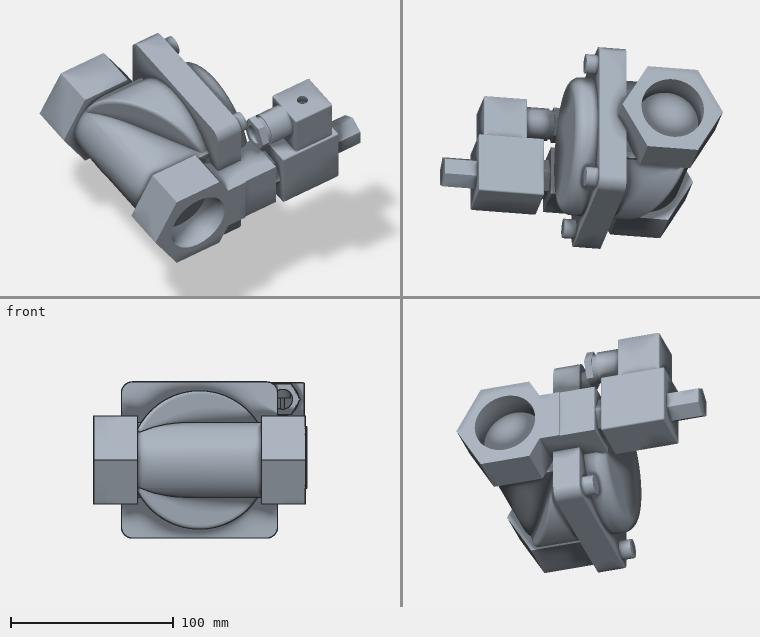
import cadquery as cq
import math

END_TO_END = 130.0
HEX_LENGTH = 27.1
HEX_FLATS = 54.2
PIPE_RADIUS = 23.1
PORT_DIAMETER = 39.0
PORT_DEPTH = 20.0

HALF_LENGTH = END_TO_END / 2
HEX_INNER_X = HALF_LENGTH - HEX_LENGTH

FLANGE_SIZE = 96.0
FLANGE_CORNER_RADIUS = 7.0
FLANGE_BOTTOM_Y = 25.7
PARTING_Y = 35.0
COVER_PLATE_TOP_Y = 42.6
DOME_TOP_Y = 55.7
DOME_EDGE_RADIUS = 7.0
BOWL_RADIUS = 42.5
BOWL_FLOOR_Y = 3.4
BOWL_FLOOR_ANGLE = 27.4
BOWL_EDGE_RADIUS = 2.0

SCREW_HEAD_DIAMETER = 12.0
SCREW_HEAD_TOP_Y = 49.9
SCREW_OFFSET = 38.2

PILOT_WIDTH_Z = 31.4
PILOT_START_X = 37.1
PILOT_COVER_END_X = 64.3
PILOT_TOP_Y = 57.5

SOLENOID_X = 51.0
BASE_HEX_FLATS = 21.0
COIL_START_Y = 61.9
COIL_LENGTH_Y = 40.8
COIL_WIDTH_X = 30.0
COIL_BOTTOM_Z = -17.5
COIL_TOP_Z = 20.6
CASE_EDGE_RADIUS = 1.0
STEM_HEX_FLATS = 17.1
STEM_END_Y = 122.6

PLUG_SIZE = 27.0
PLUG_START_Y = 72.2
PLUG_TOP_Z = 47.4
PLUG_CENTRE_Y = PLUG_START_Y + PLUG_SIZE / 2

GLAND_Z = 37.2
GLAND_DIAMETER = 20.0
GLAND_END_Y = 57.1
GLAND_NECK_DIAMETER = 18.0
GLAND_NUT_FLATS = 19.0
GLAND_NUT_HEIGHT = 4.5
GLAND_NUT_END_Y = SCREW_HEAD_TOP_Y
GLAND_BORE_DIAMETER = 12.3
GLAND_BORE_END_Y = PLUG_CENTRE_Y + GLAND_BORE_DIAMETER / 2

PLUG_SCREW_WELL_DIAMETER = 6.8
PLUG_SCREW_WELL_DEPTH = 5.0
PLUG_SCREW_BOSS_DIAMETER = 10.0
PLUG_SCREW_BOSS_END_Z = 38.0
PLUG_SCREW_HEAD_DIAMETER = 5.1
PLUG_SCREW_HEAD_HEIGHT = 1.8
PLUG_SCREW_DOME_RADIUS = 1.5
PLUG_SCREW_SHANK_DIAMETER = 2.6
CROSS_SLOT_LENGTH = 3.0
CROSS_SLOT_WIDTH = 0.8
CROSS_SLOT_DEPTH = 1.2


def box(x_range, y_range, z_range):
    """Box between the given limits on each axis."""
    corner = cq.Vector(x_range[0], y_range[0], z_range[0])
    sizes = [limits[1] - limits[0] for limits in (x_range, y_range, z_range)]
    return cq.Workplane(cq.Solid.makeBox(*sizes, corner))


def cylinder_y(diameter, x, z, y_start, y_end):
    """Cylinder along Y between two heights."""
    solid = cq.Solid.makeCylinder(
        diameter / 2, y_end - y_start, cq.Vector(x, y_start, z), cq.Vector(0, 1, 0)
    )
    return cq.Workplane(solid)


def cylinder_z(diameter, x, y, z_start, z_end):
    """Cylinder along Z between two heights."""
    solid = cq.Solid.makeCylinder(diameter / 2, z_end - z_start, cq.Vector(x, y, z_start))
    return cq.Workplane(solid)


def cylinder_x(diameter, x_start, x_end):
    """Cylinder on the X axis."""
    solid = cq.Solid.makeCylinder(
        diameter / 2, x_end - x_start, cq.Vector(x_start, 0, 0), cq.Vector(1, 0, 0)
    )
    return cq.Workplane(solid)


def across_corners(flats):
    """Width across the corners of a hexagon, from its width across the flats."""
    return flats / math.cos(math.radians(30))


def hex_prism_y(flats, x, z, y_start, y_end, turn=0):
    """Hexagonal prism along Y, with corners toward X unless it is turned."""
    return (
        cq.Workplane("XZ", origin=(x, y_start, z))
        .transformed(rotate=(0, 0, turn))
        .polygon(6, across_corners(flats))
        .extrude(y_start - y_end)
    )


def flange_plate(y_start, y_end):
    """Square plate with rounded corners, centred on the Y axis."""
    half = FLANGE_SIZE / 2
    plate = box((-half, half), (y_start, y_end), (-half, half))
    return plate.edges("|Y").fillet(FLANGE_CORNER_RADIUS)


def pilot_block(y_start, y_end, x_end):
    """Block beside the flange that carries the solenoid."""
    half = PILOT_WIDTH_Z / 2
    return box((PILOT_START_X, x_end), (y_start, y_end), (-half, half))


def threaded_end(x_start):
    """Hexagonal pipe end with corners toward +Y and -Y."""
    return (
        cq.Workplane("YZ", origin=(x_start, 0, 0))
        .polygon(6, across_corners(HEX_FLATS))
        .extrude(HEX_LENGTH)
    )


def bowl():
    """Round bowl along Y, closed by a slanted floor with a rounded rim."""
    rise = BOWL_RADIUS * math.tan(math.radians(BOWL_FLOOR_ANGLE))
    floor_low = BOWL_FLOOR_Y - rise
    floor_high = BOWL_FLOOR_Y + rise
    side = (
        cq.Workplane("XY")
        .moveTo(-BOWL_RADIUS, floor_low)
        .lineTo(BOWL_RADIUS, floor_high)
        .lineTo(BOWL_RADIUS, PARTING_Y)
        .lineTo(-BOWL_RADIUS, PARTING_Y)
        .close()
        .extrude(BOWL_RADIUS, both=True)
    )
    barrel = cylinder_y(2 * BOWL_RADIUS, 0, 0, floor_low, PARTING_Y)
    barrel = barrel.rotate((0, 0, 0), (0, 1, 0), 90)
    return barrel.intersect(side).faces("<Y").edges().fillet(BOWL_EDGE_RADIUS)


def make_valve_body():
    pipe = cylinder_x(2 * PIPE_RADIUS, -HEX_INNER_X, HEX_INNER_X)
    web = box((-HEX_INNER_X, HEX_INNER_X), (0, PARTING_Y), (-PIPE_RADIUS, PIPE_RADIUS))
    body = pipe.union(web).union(bowl())
    body = body.union(flange_plate(FLANGE_BOTTOM_Y, PARTING_Y))
    body = body.union(pilot_block(0, PARTING_Y, HALF_LENGTH))
    for hex_start in (-HALF_LENGTH, HEX_INNER_X):
        body = body.union(threaded_end(hex_start))
    for port_start in (-HALF_LENGTH, HALF_LENGTH - PORT_DEPTH):
        body = body.cut(cylinder_x(PORT_DIAMETER, port_start, port_start + PORT_DEPTH))
    return body


def make_cover():
    dome = cylinder_y(2 * BOWL_RADIUS, 0, 0, PARTING_Y, DOME_TOP_Y)
    dome = dome.faces(">Y").edges().fillet(DOME_EDGE_RADIUS)
    cover = flange_plate(PARTING_Y, COVER_PLATE_TOP_Y).union(dome)
    cover = cover.union(pilot_block(PARTING_Y, PILOT_TOP_Y, PILOT_COVER_END_X))
    for x in (-SCREW_OFFSET, SCREW_OFFSET):
        for z in (-SCREW_OFFSET, SCREW_OFFSET):
            head = cylinder_y(SCREW_HEAD_DIAMETER, x, z, PARTING_Y, SCREW_HEAD_TOP_Y)
            cover = cover.union(head)
    return cover


def coil_with_stem():
    """Coil case between its hexagonal base and the hexagonal end of its stem."""
    coil_end_y = COIL_START_Y + COIL_LENGTH_Y
    half = COIL_WIDTH_X / 2
    case = box(
        (SOLENOID_X - half, SOLENOID_X + half),
        (COIL_START_Y, coil_end_y),
        (COIL_BOTTOM_Z, COIL_TOP_Z),
    )
    case = case.edges().fillet(CASE_EDGE_RADIUS)
    base = hex_prism_y(BASE_HEX_FLATS, SOLENOID_X, 0, PILOT_TOP_Y, COIL_START_Y)
    stem = hex_prism_y(STEM_HEX_FLATS, SOLENOID_X, 0, coil_end_y, STEM_END_Y, turn=30)
    return case.union(base).union(stem)


def plug_with_gland():
    """Plug case with the stepped gland and its nut on the -Y side."""
    half = PLUG_SIZE / 2
    case = box(
        (SOLENOID_X - half, SOLENOID_X + half),
        (PLUG_START_Y, PLUG_START_Y + PLUG_SIZE),
        (COIL_TOP_Z, PLUG_TOP_Z),
    )
    case = case.edges("|Z or >Z").fillet(CASE_EDGE_RADIUS)
    nut_start_y = GLAND_NUT_END_Y + GLAND_NUT_HEIGHT
    sleeve = cylinder_y(GLAND_DIAMETER, SOLENOID_X, GLAND_Z, GLAND_END_Y, PLUG_CENTRE_Y)
    neck = cylinder_y(GLAND_NECK_DIAMETER, SOLENOID_X, GLAND_Z, nut_start_y, GLAND_END_Y)
    nut = hex_prism_y(GLAND_NUT_FLATS, SOLENOID_X, GLAND_Z, GLAND_NUT_END_Y, nut_start_y)
    return case.union(sleeve).union(neck).union(nut)


def plug_screw_head(seat_z):
    """Domed screw head with a cross slot, standing on the bottom of its well."""
    top_z = seat_z + PLUG_SCREW_HEAD_HEIGHT
    head = cylinder_z(PLUG_SCREW_HEAD_DIAMETER, SOLENOID_X, PLUG_CENTRE_Y, seat_z, top_z)
    head = head.faces(">Z").edges().fillet(PLUG_SCREW_DOME_RADIUS)
    slot = (
        cq.Workplane("XY", origin=(SOLENOID_X, PLUG_CENTRE_Y, top_z))
        .rect(CROSS_SLOT_LENGTH, CROSS_SLOT_WIDTH)
        .extrude(-CROSS_SLOT_DEPTH)
    )
    axis_start = (SOLENOID_X, PLUG_CENTRE_Y, 0)
    axis_end = (SOLENOID_X, PLUG_CENTRE_Y, 1)
    for angle in (45, 135):
        head = head.cut(slot.rotate(axis_start, axis_end, angle))
    return head


def make_solenoid():
    well_floor_z = PLUG_TOP_Z - PLUG_SCREW_WELL_DEPTH
    boss = cylinder_z(
        PLUG_SCREW_BOSS_DIAMETER, SOLENOID_X, PLUG_CENTRE_Y, PLUG_SCREW_BOSS_END_Z, PLUG_TOP_Z
    )
    shank = cylinder_z(
        PLUG_SCREW_SHANK_DIAMETER, SOLENOID_X, PLUG_CENTRE_Y, COIL_TOP_Z, well_floor_z
    )
    bore = cylinder_y(
        GLAND_BORE_DIAMETER, SOLENOID_X, GLAND_Z, GLAND_NUT_END_Y, GLAND_BORE_END_Y
    )
    well = cylinder_z(
        PLUG_SCREW_WELL_DIAMETER, SOLENOID_X, PLUG_CENTRE_Y, well_floor_z, PLUG_TOP_Z
    )
    plug = plug_with_gland().cut(bore).union(boss).union(shank)
    plug = plug.cut(well).union(plug_screw_head(well_floor_z))
    return coil_with_stem().union(plug)


valve_body = make_valve_body()
cover = make_cover()
solenoid = make_solenoid()

result = cq.Compound.makeCompound([valve_body.val(), cover.val(), solenoid.val()])